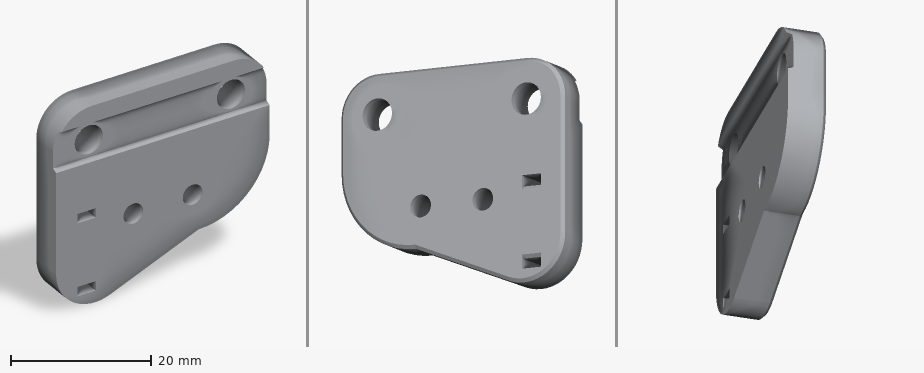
import cadquery as cq
import math

thickness = 5.8
width = 36.0
height = 32.65
half_width = width / 2
top_radius = 6.0
low_radius = 6.6
large_radius = 12.0
edge_chamfer = 0.5

large_hole_diameter = 4.7
large_hole_y = half_width - top_radius
large_hole_z = height - top_radius
small_hole_diameter = 3.3
small_hole_y = 5.0
small_hole_z = 12.65

slot_width = 3.1
slot_height = 2.05
slot_y = -12.85
slot_middle_z = 8.7
slot_spacing = 11.55
slot_chamfer = 0.5

channel_depth = 0.83
channel_floor_half = 2.88
channel_mouth_half = 3.25


def arc_point(center_y, center_z, radius, degrees):
    """Point on a circle, with the angle measured from +Y toward +Z."""
    angle = math.radians(degrees)
    return center_y + radius * math.cos(angle), center_z + radius * math.sin(angle)


def make_plate():
    """Rounded plate with a straight lower edge tangent to the low corner."""
    low_y = low_radius - half_width
    kink_y = half_width - large_radius
    kink_z = low_radius
    large_z = kink_z + large_radius
    tangent = -math.degrees(math.acos(low_radius / (kink_y - low_y)))
    low_middle = (tangent - 180) / 2
    outline = (
        cq.Workplane("YZ")
        .moveTo(-large_hole_y, height)
        .lineTo(large_hole_y, height)
        .threePointArc(arc_point(large_hole_y, large_hole_z, top_radius, 45), (half_width, large_hole_z))
        .lineTo(half_width, large_z)
        .threePointArc(arc_point(kink_y, large_z, large_radius, -45), (kink_y, kink_z))
        .lineTo(*arc_point(low_y, low_radius, low_radius, tangent))
        .threePointArc(arc_point(low_y, low_radius, low_radius, low_middle), (-half_width, low_radius))
        .lineTo(-half_width, large_hole_z)
        .threePointArc(arc_point(-large_hole_y, large_hole_z, top_radius, 135), (-large_hole_y, height))
        .close()
    )
    return outline.extrude(thickness).faces("<X").chamfer(edge_chamfer)


def hole_pair(offset_y, z, diameter):
    """Two round cutters placed symmetrically about Y = 0."""
    centers = [(-offset_y, z), (offset_y, z)]
    return cq.Workplane("YZ").pushPoints(centers).circle(diameter / 2).extrude(thickness)


def slot_cutter(side):
    """Through slot above (side = 1) or below (side = -1) the middle of the pair."""
    front_inner = slot_middle_z + side * (slot_spacing - slot_height) / 2
    rear_inner = front_inner + side * slot_chamfer
    outer = front_inner + side * slot_height
    profile = [
        (0, front_inner),
        (slot_chamfer, rear_inner),
        (thickness, rear_inner),
        (thickness, outer),
        (0, outer),
    ]
    return (
        cq.Workplane("XZ", origin=(0, slot_y, 0))
        .polyline(profile)
        .close()
        .extrude(slot_width / 2, both=True)
    )


def channel_cutter():
    """Trapezoidal channel running the full width in Y."""
    floor_x = thickness - channel_depth
    profile = [
        (thickness, large_hole_z - channel_mouth_half),
        (floor_x, large_hole_z - channel_floor_half),
        (floor_x, large_hole_z + channel_floor_half),
        (thickness, large_hole_z + channel_mouth_half),
    ]
    return cq.Workplane("XZ").polyline(profile).close().extrude(half_width, both=True)


result = make_plate()
result = result.cut(hole_pair(large_hole_y, large_hole_z, large_hole_diameter))
result = result.cut(hole_pair(small_hole_y, small_hole_z, small_hole_diameter))
for side in (-1, 1):
    result = result.cut(slot_cutter(side))
result = result.cut(channel_cutter())